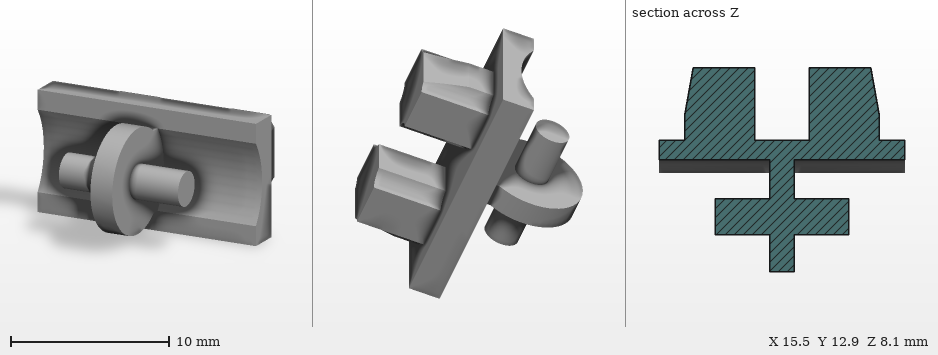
import cadquery as cq


pin_length = 8.46
pin_radius = 1.15
disc_radius = 3.5
disc_thickness = 1.55

plate_length = 15.52
plate_height = 8.1
plate_thickness = 2.1
plate_front_y = 2.75
plate_back_y = plate_front_y + plate_thickness
groove_half_height = 2.73
groove_depth = 0.85
groove_floor_y = plate_front_y + groove_depth

overall_depth = 12.91
block_end_y = overall_depth - disc_radius
block_length = block_end_y - plate_back_y
block_height = 4.9
block_inner_x = 1.71
block_outer_x = 6.14
block_width = block_outer_x - block_inner_x
block_flat_width = 2.8
corner_radius = 1.15
taper_length = 2.9
taper_inset = 0.52


def cylinder_along_x(radius, length):
    """Cylinder on the X axis, centred on the origin."""
    return cq.Workplane("YZ").circle(radius).extrude(length / 2, both=True)


def make_plate():
    """Rectangular plate with the round groove running its full length."""
    half_height = plate_height / 2
    return (
        cq.Workplane("YZ")
        .moveTo(plate_back_y, -half_height)
        .lineTo(plate_front_y, -half_height)
        .lineTo(plate_front_y, -groove_half_height)
        .threePointArc((groove_floor_y, 0), (plate_front_y, groove_half_height))
        .lineTo(plate_front_y, half_height)
        .lineTo(plate_back_y, half_height)
        .close()
        .extrude(plate_length / 2, both=True)
    )


def make_neck():
    """Web as tall as the groove that joins the disc to the plate."""
    return cq.Workplane("XY").box(
        disc_thickness, plate_back_y, 2 * groove_half_height, centered=(True, False, True)
    )


def make_block():
    """Block on the +X side with four hollow corners and a tapered outer face."""
    middle_x = (block_inner_x + block_outer_x) / 2
    block = (
        cq.Workplane("XY")
        .box(block_width, block_length, block_height, centered=(True, False, True))
        .translate((middle_x, plate_back_y, 0))
    )

    corner_offset = block_flat_width / 2 + corner_radius
    corner_centers = [
        (middle_x + side * corner_offset, level * block_height / 2)
        for side in (-1, 1)
        for level in (-1, 1)
    ]
    corner_cuts = (
        cq.Workplane("XZ", origin=(0, plate_back_y, 0))
        .pushPoints(corner_centers)
        .circle(corner_radius)
        .extrude(-block_length)
    )

    taper_cut = (
        cq.Workplane("XY")
        .moveTo(block_outer_x, block_end_y - taper_length)
        .lineTo(block_outer_x, block_end_y)
        .lineTo(block_outer_x - taper_inset, block_end_y)
        .close()
        .extrude(block_height / 2, both=True)
    )
    return block.cut(corner_cuts).cut(taper_cut)


pin = cylinder_along_x(pin_radius, pin_length)
disc = cylinder_along_x(disc_radius, disc_thickness)
block = make_block()

result = (
    make_plate()
    .union(make_neck())
    .union(disc)
    .union(pin)
    .union(block)
    .union(block.mirror("YZ"))
)